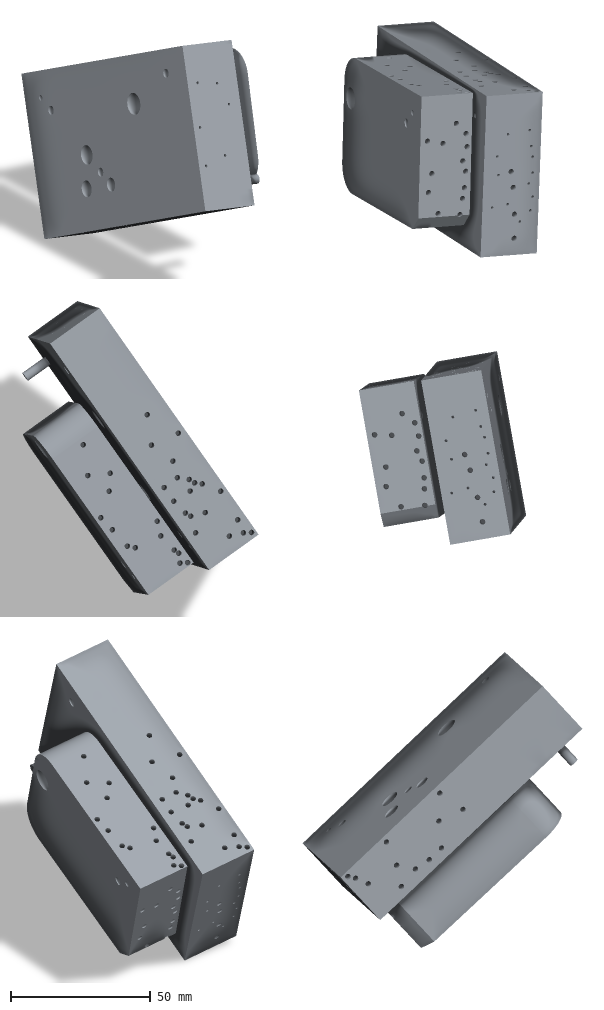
import cadquery as cq

PLATE_LENGTH = 100.0
PLATE_THICKNESS = 21.9
PLATE_HEIGHT = 60.0

BLOCK_GAP = 3.0
BLOCK_INSET = 5.5
BLOCK_LENGTH = 70.0
BLOCK_THICKNESS = 20.0
BLOCK_HEIGHT = 50.0
BLOCK_CORNER_RADIUS = 10.0
BLOCK_CHAMFER = 5.0
BLOCK_TILT = 1.5

PIN_DIAMETER = 3.5
PIN_LENGTH = 10.0
PIN_X = 89.8
PIN_Z = 9.6

EDGE_HOLE_DIAMETER = 2.0
SMALL_HOLE_DIAMETER = 1.0
EDGE_HOLE_DEPTH = 5.6

TURN_X = -8.6
TURN_Y = -23.9
TURN_Z = -23.9

PLATE_FRONT_HOLES = [
    (9.7, 50.3, 2.0),
    (14.9, 45.2, 3.2),
    (29.9, 15.2, 6.0),
    (32.8, 27.2, 7.0),
    (39.7, 20.3, 3.2),
    (45.0, 15.2, 5.0),
    (65.6, 42.4, 8.0),
    (87.7, 51.3, 3.2),
]

BLOCK_FRONT_HOLES = [
    (7.8, 42.3, 2.0),
    (13.0, 37.3, 3.2),
    (63.8, 34.5, 8.0),
]

PLATE_TOP_AND_BOTTOM_HOLES = [
    (2.1, 1.7),
    (3.7, 4.1),
    (5.7, 9.0),
    (13.8, 18.2),
    (17.7, 11.2),
    (20.7, 2.2),
    (21.7, 17.1),
    (27.7, 18.1),
    (33.7, 18.1),
    (39.6, 10.1),
    (46.7, 2.7),
    (48.8, 13.1),
]
PLATE_TOP_HOLES = [
    (8.7, 3.1),
    (19.7, 16.2),
    (26.8, 6.2),
    (27.2, 11.2),
    (28.7, 8.2),
    (30.8, 9.1),
    (33.8, 12.2),
    (58.7, 8.1),
]
PLATE_LEFT_HOLES = [
    (9.1, 6.2),
    (9.3, 15.1),
    (10.2, 25.2),
    (11.2, 31.1),
]
PLATE_LEFT_AND_RIGHT_SMALL_HOLES = [
    (2.8, 30.1),
    (3.1, 16.1),
    (4.5, 46.1),
    (12.1, 19.0),
    (13.0, 45.1),
    (16.9, 37.2),
]
PLATE_LEFT_SMALL_HOLES = [
    (2.5, 21.2),
    (3.0, 36.0),
    (3.7, 40.1),
    (4.1, 26.2),
    (7.0, 12.2),
    (16.1, 30.2),
    (18.1, 18.2),
]
BLOCK_TOP_HOLES = [
    (1.2, 1.8),
    (2.7, 4.1),
    (5.8, 2.5),
    (7.7, 3.1),
    (14.7, 4.1),
    (16.6, 14.1),
    (18.7, 16.1),
    (19.7, 2.1),
    (26.6, 17.1),
    (32.6, 18.0),
    (38.6, 10.1),
    (43.7, 6.0),
    (47.7, 13.1),
    (57.7, 8.1),
]
BLOCK_LEFT_HOLES = [
    (1.7, 30.2),
    (2.0, 21.2),
    (2.2, 35.2),
    (2.4, 15.1),
    (2.9, 11.2),
    (3.2, 25.1),
    (3.8, 5.3),
    (6.2, 39.2),
    (11.2, 32.1),
    (12.3, 6.3),
    (15.2, 21.3),
    (16.3, 14.3),
    (17.2, 33.4),
]

UP = cq.Vector(0, 0, 1)
RIGHT = cq.Vector(1, 0, 0)
BACK = cq.Vector(0, 1, 0)


def drill(body, start, direction, diameter, depth):
    """Cut one round hole that starts on a face and runs into the body."""
    return body.cut(cq.Solid.makeCylinder(diameter / 2, depth, cq.Vector(*start), direction))


def drill_front(body, holes, thickness):
    """Cut holes of several diameters from the back face through to the front."""
    for x, z, diameter in holes:
        body = drill(body, (x, thickness, z), -BACK, diameter, thickness)
    return body


def drill_level(body, holes, level, direction):
    """Cut blind holes into a top or bottom face at the given height."""
    for x, y in holes:
        body = drill(body, (x, y, level), direction, EDGE_HOLE_DIAMETER, EDGE_HOLE_DEPTH)
    return body


def drill_side(body, holes, side, direction, diameter):
    """Cut blind holes into a left or right face at the given distance along X."""
    for y, z in holes:
        body = drill(body, (side, y, z), direction, diameter, EDGE_HOLE_DEPTH)
    return body


def make_plate():
    """Plate with its through holes, its edge holes and the pin on its back."""
    plate = cq.Workplane().box(PLATE_LENGTH, PLATE_THICKNESS, PLATE_HEIGHT, centered=False)
    plate = drill_front(plate, PLATE_FRONT_HOLES, PLATE_THICKNESS)
    plate = drill_level(plate, PLATE_TOP_AND_BOTTOM_HOLES + PLATE_TOP_HOLES, PLATE_HEIGHT, -UP)
    plate = drill_level(plate, PLATE_TOP_AND_BOTTOM_HOLES, 0, UP)
    plate = drill_side(plate, PLATE_LEFT_HOLES, 0, RIGHT, EDGE_HOLE_DIAMETER)
    small_left_holes = PLATE_LEFT_AND_RIGHT_SMALL_HOLES + PLATE_LEFT_SMALL_HOLES
    plate = drill_side(plate, small_left_holes, 0, RIGHT, SMALL_HOLE_DIAMETER)
    plate = drill_side(
        plate, PLATE_LEFT_AND_RIGHT_SMALL_HOLES, PLATE_LENGTH, -RIGHT, SMALL_HOLE_DIAMETER
    )
    pin_base = cq.Vector(PIN_X, PLATE_THICKNESS, PIN_Z)
    pin = cq.Solid.makeCylinder(PIN_DIAMETER / 2, PIN_LENGTH, pin_base, BACK)
    return plate.union(pin)


def make_block():
    """Block with two rounded corners on the right, one chamfered corner and its holes."""
    block = cq.Workplane().box(BLOCK_LENGTH, BLOCK_THICKNESS, BLOCK_HEIGHT, centered=False)
    block = block.edges("|Y and >X").fillet(BLOCK_CORNER_RADIUS)
    block = block.edges("|Y and <X and <Z").chamfer(BLOCK_CHAMFER)
    block = drill_front(block, BLOCK_FRONT_HOLES, BLOCK_THICKNESS)
    block = drill_level(block, BLOCK_TOP_HOLES, BLOCK_HEIGHT, -UP)
    block = drill_side(block, BLOCK_LEFT_HOLES, 0, RIGHT, EDGE_HOLE_DIAMETER)
    top_left_corner = (0, 0, BLOCK_HEIGHT)
    block = block.rotate(top_left_corner, (0, 1, BLOCK_HEIGHT), BLOCK_TILT)
    return block.translate((BLOCK_INSET, PLATE_THICKNESS + BLOCK_GAP, PLATE_HEIGHT - BLOCK_HEIGHT))


def tilt(body):
    """Turn a body into the attitude of the assembly."""
    origin = (0, 0, 0)
    body = body.rotate(origin, (1, 0, 0), TURN_X)
    body = body.rotate(origin, (0, 1, 0), TURN_Y)
    return body.rotate(origin, (0, 0, 1), TURN_Z)


plate = tilt(make_plate())
block = tilt(make_block())

result = cq.Compound.makeCompound([plate.val(), block.val()])